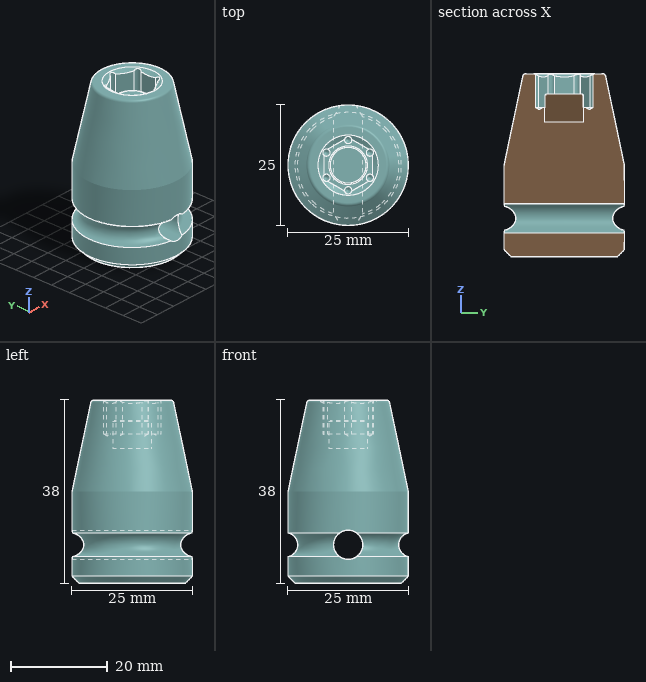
import cadquery as cq
import math

total_height = 38.0
body_radius = 12.5
nose_radius = 8.5
cone_base_z = 19.0
rim_fillet = 0.75
base_chamfer = 1.5

groove_z = 8.0
groove_arc_radius = 2.5
groove_floor_radius = 10.5
cross_hole_diameter = 6.0

hex_sides = 6
hex_across_flats = 10.0
hex_depth = 7.0
corner_angle = 90.0
mouth_radius = 6.25
mouth_half_angle = 60.0

relief_radius = 0.75
relief_circle_radius = 5.2
relief_point_angle = 118.0

magnet_radius = 4.0
magnet_top_depth = 4.2
magnet_seat_depth = 3.0
magnet_chamfer = 0.3

hex_floor_z = total_height - hex_depth
hex_across_corners = hex_across_flats / math.cos(math.pi / hex_sides)
magnet_bottom_z = hex_floor_z - magnet_seat_depth
magnet_height = total_height - magnet_top_depth - magnet_bottom_z


def turned_blank():
    """Solid of revolution: chamfered base, round groove, cylinder and tapered nose."""
    arc_center_radius = groove_floor_radius + groove_arc_radius
    groove_half_width = math.sqrt(groove_arc_radius**2 - (arc_center_radius - body_radius) ** 2)
    profile = (
        cq.Workplane("XZ")
        .lineTo(body_radius - base_chamfer, 0)
        .lineTo(body_radius, base_chamfer)
        .lineTo(body_radius, groove_z - groove_half_width)
        .threePointArc((groove_floor_radius, groove_z), (body_radius, groove_z + groove_half_width))
        .lineTo(body_radius, cone_base_z)
        .lineTo(nose_radius, total_height)
        .lineTo(0, total_height)
        .close()
    )
    blank = profile.revolve(360, (0, 0, 0), (0, 1, 0))
    return blank.faces(">Z").edges().fillet(rim_fillet)


def cross_hole():
    """Cylinder along Y that passes right through the body at the groove."""
    return (
        cq.Workplane("XZ", origin=(0, 0, groove_z))
        .circle(cross_hole_diameter / 2)
        .extrude(body_radius, both=True)
    )


def hex_recess():
    """Hexagonal pocket with flats facing X and corners on the Y axis."""
    return (
        cq.Workplane("XY", origin=(0, 0, hex_floor_z))
        .transformed(rotate=(0, 0, corner_angle))
        .polygon(hex_sides, hex_across_corners)
        .extrude(hex_depth)
    )


def mouth_countersink():
    """Cone that leads into the hexagon from the nose face."""
    cone_height = mouth_radius / math.tan(math.radians(mouth_half_angle))
    profile = (
        cq.Workplane("XZ", origin=(0, 0, total_height))
        .lineTo(mouth_radius, 0)
        .lineTo(0, -cone_height)
        .close()
    )
    return profile.revolve(360, (0, 0, 0), (0, 1, 0))


def corner_reliefs():
    """Drilled holes at the hexagon corners, each ending in a drill point below the floor."""
    point_height = relief_radius / math.tan(math.radians(relief_point_angle / 2))
    profile = (
        cq.Workplane("XZ", origin=(0, 0, hex_floor_z))
        .moveTo(0, -point_height)
        .lineTo(relief_radius, 0)
        .lineTo(relief_radius, hex_depth)
        .lineTo(0, hex_depth)
        .close()
    )
    drill = profile.revolve(360, (0, 0, 0), (0, 1, 0)).val()
    places = cq.Workplane("XY").polarArray(relief_circle_radius, corner_angle, 360, hex_sides)
    return places.eachpoint(lambda place: drill.moved(place), combine=False)


def magnet_cylinder():
    """Full cylinder of the magnet, which also cuts its seat."""
    return (
        cq.Workplane("XY", origin=(0, 0, magnet_bottom_z))
        .circle(magnet_radius)
        .extrude(magnet_height)
    )


def make_socket():
    socket = turned_blank().cut(cross_hole())
    socket = socket.cut(hex_recess()).cut(mouth_countersink())
    for relief in corner_reliefs().vals():
        socket = socket.cut(cq.Workplane(relief))
    return socket.cut(magnet_cylinder())


def make_magnet():
    """Round magnet standing proud of the hexagon floor, with a chamfered top edge."""
    return magnet_cylinder().faces(">Z").edges().chamfer(magnet_chamfer)


socket = make_socket()
magnet = make_magnet()
result = cq.Compound.makeCompound([socket.val(), magnet.val()])